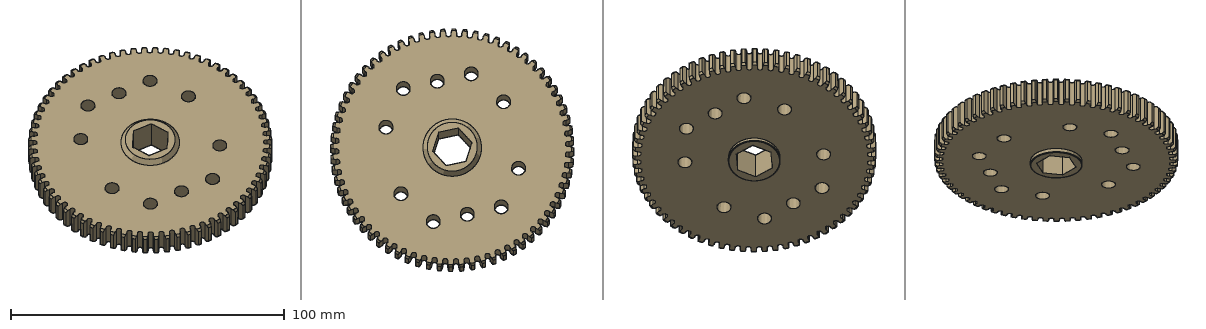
import cadquery as cq
import math

tooth_count = 68
overall_size = 88.85
pressure_angle = math.radians(14.5)
tooth_depth = 3.0
root_height = 1.3
tip_chamfer = 0.8
flank_steps = 4

overall_height = 12.7
face_width = 9.5
hub_height = (overall_height - face_width) / 2
upper_hub_diameter = 21.4
lower_hub_diameter = 19.0
lower_hub_chamfer = 0.3

hex_across_flats = 12.7
hole_diameter = 5.1
hole_circle_radius = 2 * hex_across_flats
side_hole_offset = hole_circle_radius / 2

module = overall_size / (tooth_count + 2)
pitch_radius = module * tooth_count / 2
base_radius = pitch_radius * math.cos(pressure_angle)
tooth_pitch_angle = 2 * math.pi / tooth_count


def involute(angle):
    """Involute function of a pressure angle in radians."""
    return math.tan(angle) - angle


def half_gap_angle(radius):
    """Half the angle that a tooth gap spans at a radius on its involute flanks."""
    flank_angle = math.acos(base_radius / radius)
    return tooth_pitch_angle / 4 - involute(pressure_angle) + involute(flank_angle)


def polar(radius, angle):
    """Cartesian point at a radius and an angle from the X axis."""
    return (radius * math.cos(angle), radius * math.sin(angle))


nominal_tip_radius = overall_size / 2
tip_radius = nominal_tip_radius / math.cos(half_gap_angle(nominal_tip_radius))
root_radius = tip_radius - tooth_depth
flank_start_radius = root_radius + root_height


def tooth_profile():
    """Closed outline of all teeth, with rounded roots and involute flanks."""
    flank_radii = [
        flank_start_radius + (tip_radius - flank_start_radius) * step / flank_steps
        for step in range(flank_steps + 1)
    ]
    outline = cq.Workplane("XY").moveTo(
        *polar(flank_start_radius, -half_gap_angle(flank_start_radius))
    )
    for tooth in range(tooth_count):
        gap_center = tooth * tooth_pitch_angle
        next_gap_center = gap_center + tooth_pitch_angle
        rising = [polar(r, gap_center + half_gap_angle(r)) for r in flank_radii]
        falling = [polar(r, next_gap_center - half_gap_angle(r)) for r in reversed(flank_radii)]
        tip_center = polar(tip_radius, gap_center + tooth_pitch_angle / 2)
        outline = outline.threePointArc(polar(root_radius, gap_center), rising[0])
        outline = outline.spline(rising[1:], includeCurrent=True)
        outline = outline.threePointArc(tip_center, falling[0])
        outline = outline.spline(falling[1:], includeCurrent=True)
    return outline.close()


def gear_body():
    """Toothed disc, centred on the XY plane, with both rims of the tips chamfered."""
    bottom = (0, 0, -face_width / 2)
    teeth = tooth_profile().extrude(face_width).translate(bottom)
    envelope = (
        cq.Workplane("XY", origin=bottom)
        .circle(tip_radius)
        .extrude(face_width)
        .edges()
        .chamfer(tip_chamfer)
    )
    return teeth.intersect(envelope)


def upper_hub():
    """Boss bevelled at 45 degrees over its full height."""
    boss_radius = upper_hub_diameter / 2
    face_top = face_width / 2
    hub_top = face_top + hub_height
    half_section = [
        (0, face_top),
        (boss_radius, face_top),
        (boss_radius - hub_height, hub_top),
        (0, hub_top),
    ]
    return cq.Workplane("XZ").polyline(half_section).close().revolve(360, (0, 0, 0), (0, 1, 0))


def lower_hub():
    """Cylindrical boss below the gear face, lightly chamfered at its end."""
    return (
        cq.Workplane("XY", origin=(0, 0, -face_width / 2))
        .circle(lower_hub_diameter / 2)
        .extrude(-hub_height)
        .faces("<Z")
        .edges()
        .chamfer(lower_hub_chamfer)
    )


def hex_bore():
    """Hexagon with two flats square to the X axis."""
    across_corners = hex_across_flats / math.cos(math.pi / 6)
    return (
        cq.Workplane("XY")
        .transformed(rotate=(0, 0, 90))
        .polygon(6, across_corners)
        .extrude(overall_height, both=True)
    )


def mounting_holes():
    """Six holes on a circle, and two more beside each of the two holes on the X axis."""
    circle_points = [polar(hole_circle_radius, i * math.pi / 3) for i in range(6)]
    side_points = [
        (x_side * hole_circle_radius, y_side * side_hole_offset)
        for x_side in (-1, 1)
        for y_side in (-1, 1)
    ]
    return (
        cq.Workplane("XY")
        .pushPoints(circle_points + side_points)
        .circle(hole_diameter / 2)
        .extrude(face_width, both=True)
    )


result = (
    gear_body()
    .union(upper_hub())
    .union(lower_hub())
    .cut(hex_bore())
    .cut(mounting_holes())
)